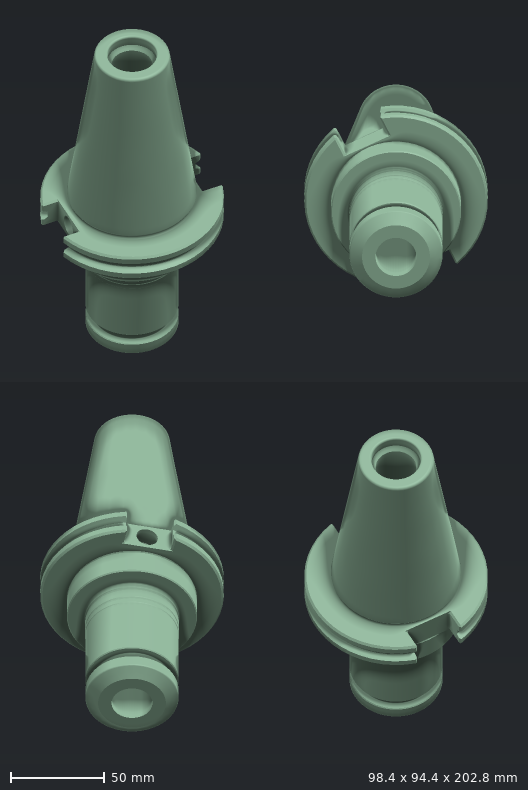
import cadquery as cq
import math

overall_length = 202.82

gauge_diameter = 69.85
taper_length = 101.6
taper_ratio = 7 / 24
taper_end_fillet = 1.9
relief_diameter = 67.5
relief_fillet = 1.375

flange_diameter = 98.43
flange_top_z = -3.175
flange_thickness = 15.875
flange_bottom_z = flange_top_z - flange_thickness
flange_chamfer = 1.1
groove_z = flange_top_z - flange_thickness / 2
groove_root_diameter = 91.2
groove_rim_width = 7.1
groove_root_width = 3.8
groove_root_fillet = 0.4

slot_width = 25.9
slot_edge_chamfer = 1.0
slot_corner_chamfer = 0.6
front_slot_floor_y = -37.7
back_slot_floor_y = 35.2
drill_hole_diameter = 11.7
drill_hole_depth = 10.0
drill_point_angle = 140

body_diameter = gauge_diameter
neck_diameter = 68.6
body_top_z = -20.3
body_bottom_z = -34.9
body_chamfer = 0.6

shank_diameter = 50.0
band_diameter = 50.5
band_chamfer_length = 0.4
band_spans = [(-39.2, -44.9), (-46.0, -49.3)]
collar_bottom_z = -37.8
collar_fillet = 1.0
clip_groove_diameter = 42.0
clip_groove_top_z = -84.2
clip_groove_bottom_z = -90.4
clip_groove_edge_chamfer = 0.5
clip_groove_root_fillet = 0.5
tip_z = taper_length - overall_length
tip_diameter = 36.4
tip_angle = 30
tip_fillet = 1.0

through_bore_diameter = 21.96
counterbore_diameter = 26.4
counterbore_depth = 6.0
mouth_fillet = 1.3


def revolve_profile(points):
    return cq.Workplane("XZ").polyline(points).close().revolve(360, (0, 0, 0), (0, 1, 0))


def make_cylinder(diameter, top_z, bottom_z):
    return cq.Workplane("XY", origin=(0, 0, bottom_z)).circle(diameter / 2).extrude(top_z - bottom_z)


def ring_edges(z, diameter):
    """Select the circular edges of the given diameter that lie at height z."""
    margin = 0.01
    reach = diameter / 2 + margin
    return cq.selectors.BoxSelector(
        (-reach, -reach, z - margin), (reach, reach, z + margin), boundingbox=True
    )


def make_taper():
    end_radius = (gauge_diameter - taper_length * taper_ratio) / 2
    taper = revolve_profile([
        (0, 0),
        (gauge_diameter / 2, 0),
        (end_radius, taper_length),
        (0, taper_length),
    ])
    return taper.faces(">Z").edges().fillet(taper_end_fillet)


def make_flange():
    radius = flange_diameter / 2
    face_radius = radius - flange_chamfer
    root_radius = groove_root_diameter / 2
    root_half = groove_root_width / 2
    rim_half = groove_rim_width / 2
    flange = revolve_profile([
        (0, flange_top_z),
        (face_radius, flange_top_z),
        (radius, flange_top_z - flange_chamfer),
        (radius, groove_z + rim_half),
        (root_radius, groove_z + root_half),
        (root_radius, groove_z - root_half),
        (radius, groove_z - rim_half),
        (radius, flange_bottom_z + flange_chamfer),
        (face_radius, flange_bottom_z),
        (0, flange_bottom_z),
    ])
    for root_edge_z in (groove_z - root_half, groove_z + root_half):
        flange = flange.edges(ring_edges(root_edge_z, groove_root_diameter)).fillet(groove_root_fillet)
    return flange


def make_slot(floor_y):
    """Cutter for one drive slot, with chamfers on its outer, upper and lower edges."""
    outward = math.copysign(1, floor_y)
    half_width = slot_width / 2
    floor_half_width = half_width - slot_corner_chamfer
    mouth_half_width = half_width + slot_edge_chamfer
    corner_y = floor_y + outward * slot_corner_chamfer
    open_y = outward * flange_diameter / 2
    mouth_y = outward * math.sqrt((flange_diameter / 2) ** 2 - mouth_half_width ** 2)
    flare_y = mouth_y - outward * slot_edge_chamfer
    flare_end_half_width = half_width + abs(open_y - flare_y)
    right_side = [
        (floor_half_width, floor_y),
        (half_width, corner_y),
        (half_width, flare_y),
        (flare_end_half_width, open_y),
    ]
    left_side = [(-x, y) for x, y in reversed(right_side)]
    slot = (
        cq.Workplane("XY", origin=(0, 0, flange_bottom_z))
        .polyline(right_side + left_side)
        .close()
        .extrude(flange_thickness)
    )
    for face_z, inward in ((flange_top_z, -1), (flange_bottom_z, 1)):
        edge_chamfer = (
            cq.Workplane("XZ", origin=(0, floor_y, 0))
            .polyline([
                (-mouth_half_width, face_z),
                (mouth_half_width, face_z),
                (half_width, face_z + inward * slot_edge_chamfer),
                (-half_width, face_z + inward * slot_edge_chamfer),
            ])
            .close()
            .extrude(floor_y - open_y)
        )
        slot = slot.union(edge_chamfer)
    return slot


def make_drill_hole():
    """Blind hole with a conical bottom, drilled into the floor of the front slot."""
    radius = drill_hole_diameter / 2
    point_depth = radius / math.tan(math.radians(drill_point_angle / 2))
    floor_y = front_slot_floor_y + drill_hole_depth
    return (
        cq.Workplane("XY", origin=(0, 0, groove_z))
        .polyline([
            (0, front_slot_floor_y),
            (radius, front_slot_floor_y),
            (radius, floor_y),
            (0, floor_y + point_depth),
        ])
        .close()
        .revolve(360, (0, 0, 0), (0, 1, 0))
    )


def make_relief():
    """Undercut below the taper, tapering inward and then curving out to the flange face."""
    radius = relief_diameter / 2
    fillet_top_z = flange_top_z + relief_fillet
    diagonal = relief_fillet * (1 - math.sqrt(0.5))
    return (
        cq.Workplane("XZ")
        .moveTo(0, 0)
        .lineTo(gauge_diameter / 2, 0)
        .lineTo(radius, fillet_top_z)
        .threePointArc(
            (radius + diagonal, flange_top_z + diagonal),
            (radius + relief_fillet, flange_top_z),
        )
        .lineTo(0, flange_top_z)
        .close()
        .revolve(360, (0, 0, 0), (0, 1, 0))
    )


def make_neck():
    return make_cylinder(neck_diameter, flange_bottom_z, body_top_z)


def make_body():
    body = make_cylinder(body_diameter, body_top_z, body_bottom_z)
    return body.faces("<Z or >Z").edges().chamfer(body_chamfer)


def make_shank():
    radius = shank_diameter / 2
    groove_radius = clip_groove_diameter / 2
    edge_radius = radius - clip_groove_edge_chamfer
    tip_radius = tip_diameter / 2
    shoulder_z = tip_z + (radius - tip_radius) * math.tan(math.radians(tip_angle))
    shank = revolve_profile([
        (0, body_bottom_z),
        (radius, body_bottom_z),
        (radius, clip_groove_top_z + clip_groove_edge_chamfer),
        (edge_radius, clip_groove_top_z),
        (groove_radius, clip_groove_top_z),
        (groove_radius, clip_groove_bottom_z),
        (edge_radius, clip_groove_bottom_z),
        (radius, clip_groove_bottom_z - clip_groove_edge_chamfer),
        (radius, shoulder_z),
        (tip_radius, tip_z),
        (0, tip_z),
    ])
    for root_z in (clip_groove_top_z, clip_groove_bottom_z):
        shank = shank.edges(ring_edges(root_z, clip_groove_diameter)).fillet(clip_groove_root_fillet)
    return shank.edges(ring_edges(shoulder_z, shank_diameter)).fillet(tip_fillet)


def make_band(top_z, bottom_z):
    return revolve_profile([
        (0, top_z),
        (shank_diameter / 2, top_z),
        (band_diameter / 2, top_z - band_chamfer_length),
        (band_diameter / 2, bottom_z + band_chamfer_length),
        (shank_diameter / 2, bottom_z),
        (0, bottom_z),
    ])


def make_collar():
    """Band directly below the body, joined to the body's underside by a fillet."""
    radius = band_diameter / 2
    diagonal = collar_fillet * (1 - math.sqrt(0.5))
    return (
        cq.Workplane("XZ")
        .moveTo(0, body_bottom_z)
        .lineTo(radius + collar_fillet, body_bottom_z)
        .threePointArc(
            (radius + diagonal, body_bottom_z - diagonal),
            (radius, body_bottom_z - collar_fillet),
        )
        .lineTo(radius, collar_bottom_z + band_chamfer_length)
        .lineTo(shank_diameter / 2, collar_bottom_z)
        .lineTo(0, collar_bottom_z)
        .close()
        .revolve(360, (0, 0, 0), (0, 1, 0))
    )


def make_bore():
    counterbore_floor_z = taper_length - counterbore_depth
    cone_end_z = counterbore_floor_z - (counterbore_diameter - through_bore_diameter) / 2
    return revolve_profile([
        (0, taper_length),
        (counterbore_diameter / 2, taper_length),
        (counterbore_diameter / 2, counterbore_floor_z),
        (through_bore_diameter / 2, cone_end_z),
        (through_bore_diameter / 2, tip_z),
        (0, tip_z),
    ])


flange = make_flange().cut(make_slot(front_slot_floor_y)).cut(make_slot(back_slot_floor_y))
flange = flange.cut(make_drill_hole())

holder = make_taper().union(make_relief()).union(flange)
holder = holder.union(make_neck()).union(make_body()).union(make_shank()).union(make_collar())
for band_top_z, band_bottom_z in band_spans:
    holder = holder.union(make_band(band_top_z, band_bottom_z))

holder = holder.cut(make_bore())
result = holder.edges(ring_edges(taper_length, counterbore_diameter)).fillet(mouth_fillet)